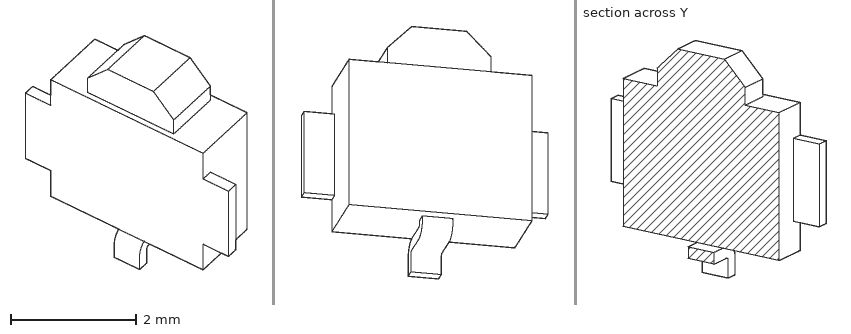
import cadquery as cq

body_width = 3.0
body_depth = 1.2
body_height = 2.5

tab_span = 4.0
tab_thickness = 0.2
tab_height = 1.4

button_width = 1.7
button_depth = 1.0
button_height = 0.7
button_chamfer = 0.4

lead_width = 0.5
lead_thickness = 0.2
foot_length = 0.3
lead_reach = 1.0
lead_shelf_top = 0.1
inner_radius = lead_thickness / 4
outer_radius = inner_radius + lead_thickness

body_top = body_height / 2
body_bottom = -body_height / 2


def make_block(width, depth, height):
    """Box centred on X and Z, running back from the front face."""
    return cq.Workplane("XY").box(width, depth, height, centered=(True, False, True))


def make_button():
    button = (
        cq.Workplane("XY")
        .box(button_width, button_depth, button_height, centered=(True, True, False))
        .faces(">Z")
        .edges("|Y")
        .chamfer(button_chamfer)
    )
    return button.translate((0, body_depth / 2, body_top))


def make_lead():
    """Z-shaped strip: down from the housing, forward, then down again."""
    shelf_top = body_bottom - lead_shelf_top
    shelf_bottom = shelf_top - lead_thickness
    tip = shelf_top - outer_radius - foot_length
    root = body_bottom + lead_thickness
    inner_back = lead_reach - lead_thickness
    return (
        cq.Workplane("YZ")
        .moveTo(lead_reach, root)
        .lineTo(lead_reach, shelf_bottom + outer_radius)
        .radiusArc((lead_reach - outer_radius, shelf_bottom), outer_radius)
        .lineTo(lead_thickness + inner_radius, shelf_bottom)
        .radiusArc((lead_thickness, shelf_bottom - inner_radius), -inner_radius)
        .lineTo(lead_thickness, tip)
        .lineTo(0, tip)
        .lineTo(0, shelf_top - outer_radius)
        .radiusArc((outer_radius, shelf_top), outer_radius)
        .lineTo(inner_back - inner_radius, shelf_top)
        .radiusArc((inner_back, shelf_top + inner_radius), -inner_radius)
        .lineTo(inner_back, root)
        .close()
        .extrude(lead_width / 2, both=True)
    )


body = make_block(body_width, body_depth, body_height)
tabs = make_block(tab_span, tab_thickness, tab_height)
result = body.union(tabs).union(make_button()).union(make_lead())